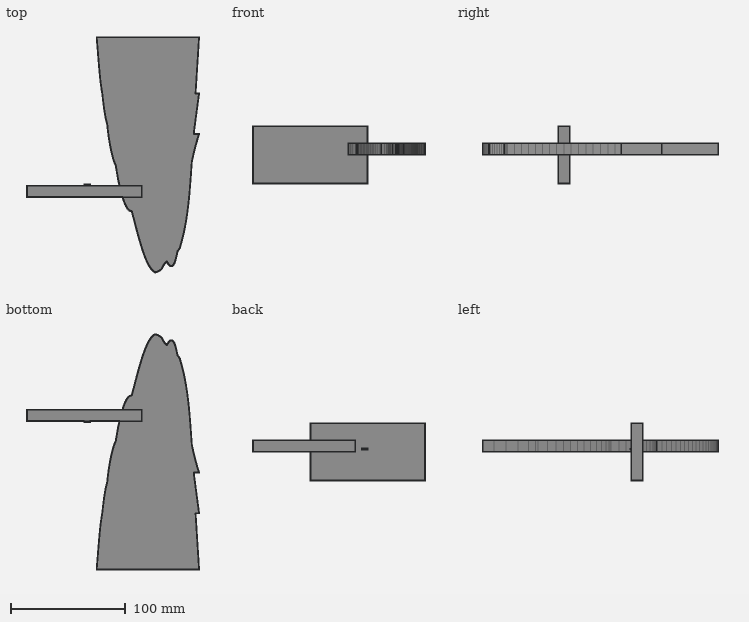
import cadquery as cq

PLATE_LENGTH = 100.0
PLATE_THICKNESS = 10.0
PLATE_HEIGHT = PLATE_LENGTH / 2

WING_THICKNESS = 10.0
WING_RIGHT = PLATE_LENGTH
WING_BACK = 134.2
WING_BACK_LEFT = 10.7

BACK_STEP_Y = 85.2
BACK_STEP_ROOT_X = 97.0
FRONT_STEP_Y = 50.0
FRONT_STEP_ROOT_X = 95.3

CURVED_STRETCHES = [
    ((11.9, 119.9), (13.5, 96.0), (15.0, 88.5), 5),
    ((7.4, 42.9), (7.4, 42.6), (15.4, 86.5), 1),
    ((16.8, 74.2), (17.6, 65.8), (19.9, 58.2), 4),
    ((21.3, 41.8), (25.0, 26.0), (27.2, 22.7), 8),
    ((31.5, -5.5), (36.9, -18.2), (41.2, -17.2), 12),
    ((48.4, -44.5), (53.7, -67.0), (61.9, -70.7), 19),
    ((70.5, -67.5), (66.2, -66.4), (71.7, -61.0), 8),
    ((78.0, -73.5), (80.3, -55.3), (81.3, -51.8), 12),
    ((82.0, -51.5), (82.5, -50.5), (83.2, -49.4), 3),
    ((90.5, -25.5), (91.8, -0.6), (93.6, 25.2), 12),
    ((95.3, 34.0), (97.5, 42.2), (WING_RIGHT, FRONT_STEP_Y), 4),
]

RIB_LENGTH = 5.3
RIB_CENTRE_X = 2.5
RIB_TOP = 2.9
RIB_HEIGHT = 1.2
RIB_DEPTH = 1.0


def facet_points(start, control_1, control_2, end, facets):
    """Points after start that split a cubic Bezier curve into flat facets."""
    points = []
    for i in range(1, facets + 1):
        t = i / facets
        s = 1 - t
        weights = (s**3, 3 * s**2 * t, 3 * s * t**2, t**3)
        poles = (start, control_1, control_2, end)
        x = sum(w * p[0] for w, p in zip(weights, poles))
        y = sum(w * p[1] for w, p in zip(weights, poles))
        points.append((x, y))
    return points


def make_plate():
    return cq.Workplane("XY").box(PLATE_LENGTH, PLATE_THICKNESS, PLATE_HEIGHT)


def make_wing():
    outline = [(WING_BACK_LEFT, WING_BACK)]
    for control_1, control_2, end, facets in CURVED_STRETCHES:
        outline += facet_points(outline[-1], control_1, control_2, end, facets)
    outline += [
        (FRONT_STEP_ROOT_X, FRONT_STEP_Y),
        (WING_RIGHT, BACK_STEP_Y),
        (BACK_STEP_ROOT_X, BACK_STEP_Y),
        (WING_RIGHT, WING_BACK),
    ]
    return cq.Workplane("XY").polyline(outline).close().extrude(WING_THICKNESS)


def make_rib():
    """Triangular rib along X, rooted at the middle of the plate thickness."""
    back_face = PLATE_THICKNESS / 2
    profile = [
        (0, RIB_TOP),
        (back_face, RIB_TOP),
        (back_face + RIB_DEPTH, RIB_TOP - RIB_HEIGHT / 2),
        (back_face, RIB_TOP - RIB_HEIGHT),
        (0, RIB_TOP - RIB_HEIGHT),
    ]
    rib = cq.Workplane("YZ").polyline(profile).close().extrude(RIB_LENGTH / 2, both=True)
    return rib.translate((RIB_CENTRE_X, 0, 0))


result = make_plate().union(make_wing()).union(make_rib())